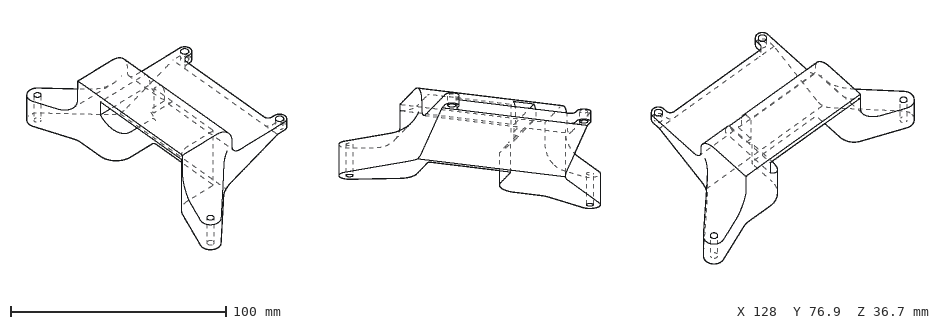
import cadquery as cq
import math

body_half_width = 35.7
body_height = 36.7
back_wall_y = 31.4
top_radius = 10.0
fillet_radius = 5.0

shelf_top = 18.5
shelf_thickness = 5.0
shelf_rear_y = 60.3
slope_foot_y = 27.1
lug_radius = 3.3
lug_center_y = 64.6
lug_hole_radius = 1.9
lug_fillet = 2.5
rounding_margin = 0.01

leg_height = 15.5
leg_tip_x = 59.0
leg_tip_y = -4.0
leg_tip_radius = 5.0
leg_hole_radius = 1.7
leg_rear_angle = 45
leg_root_radius = 10.0

ceiling_thickness = 3.1
cavity_back_y = 24.7
cavity_right_x = 30.2
pillar_inner_x = -20.4
pillar_radius = 10.0
corner_radius_left = 1.2
corner_radius_right = 0.8

ceiling = body_height - ceiling_thickness
cavity_left_x = pillar_inner_x + pillar_radius

slope_top_z = 25.6

tip_dx = leg_tip_x - body_half_width
front_angle = math.atan2(-leg_tip_y, tip_dx) + math.asin(leg_tip_radius / math.hypot(tip_dx, leg_tip_y))
front_slope = math.degrees(front_angle)


def tip_point(angle):
    """Point on the rim of the right leg tip at an angle in degrees."""
    turn = math.radians(angle)
    return leg_tip_x + leg_tip_radius * math.cos(turn), leg_tip_y + leg_tip_radius * math.sin(turn)


def make_side_solid(front_y, half_width):
    """Side outline of the part, starting at front_y and extruded symmetrically along X."""
    shelf_bottom = shelf_top - shelf_thickness
    shelf_end_y = lug_center_y + lug_radius
    return (
        cq.Workplane("YZ")
        .moveTo(front_y, 0)
        .lineTo(slope_foot_y, 0)
        .lineTo(shelf_rear_y, shelf_bottom)
        .lineTo(shelf_end_y, shelf_bottom)
        .lineTo(shelf_end_y, shelf_top)
        .lineTo(back_wall_y + fillet_radius, shelf_top)
        .radiusArc((back_wall_y, shelf_top + fillet_radius), fillet_radius)
        .lineTo(back_wall_y, body_height - top_radius)
        .radiusArc((back_wall_y - top_radius, body_height), -top_radius)
        .lineTo(front_y, body_height)
        .close()
        .extrude(half_width, both=True)
    )


def trim_lugs(body):
    """Shape the rear end of the shelf into two round lugs with holes."""
    lug_x = body_half_width - lug_radius
    inner_x = lug_x - lug_radius
    gap_length = 2 * lug_radius + lug_center_y - shelf_rear_y
    gap = (
        cq.Workplane("XY")
        .center(0, shelf_rear_y + gap_length / 2)
        .rect(2 * inner_x, gap_length)
        .extrude(shelf_top)
    )
    body = body.cut(gap)
    notch_corners = cq.selectors.BoxSelector(
        (-lug_x, shelf_rear_y - lug_fillet, 0),
        (lug_x, shelf_rear_y + lug_fillet, shelf_top),
    )
    body = body.edges(notch_corners).edges("|Z").fillet(lug_fillet)
    body = body.faces(">Y").edges("|Z").fillet(lug_radius - rounding_margin)
    holes = (
        cq.Workplane("XY")
        .pushPoints([(-lug_x, lug_center_y), (lug_x, lug_center_y)])
        .circle(lug_hole_radius)
        .extrude(shelf_top)
    )
    return body.cut(holes)


def make_leg(front_rounded):
    """Leg on the right side; front_rounded blends its front face into the body front."""
    rear_start = tip_point(90 - leg_rear_angle)
    front_end = tip_point(-90 - front_slope)
    rear_corner_y = rear_start[1] + (rear_start[0] - body_half_width) * math.tan(math.radians(leg_rear_angle))
    setback = leg_root_radius * math.tan(math.radians(leg_rear_angle / 2))
    root_y = rear_corner_y + setback
    rounding_end = (
        body_half_width + setback * math.cos(math.radians(leg_rear_angle)),
        rear_corner_y - setback * math.sin(math.radians(leg_rear_angle)),
    )
    outline = cq.Workplane("XY").moveTo(cavity_right_x, 0)
    if front_rounded:
        front_setback = leg_root_radius * math.tan(front_angle / 2)
        blend_start_x = body_half_width - front_setback
        blend_mid = (
            blend_start_x + leg_root_radius * math.sin(front_angle / 2),
            -leg_root_radius * (1 - math.cos(front_angle / 2)),
        )
        blend_end = (
            body_half_width + front_setback * math.cos(front_angle),
            -front_setback * math.sin(front_angle),
        )
        outline = outline.lineTo(blend_start_x, 0).threePointArc(blend_mid, blend_end)
    else:
        outline = outline.lineTo(body_half_width, 0)
    leg = (
        outline.lineTo(*front_end)
        .threePointArc(tip_point(0), rear_start)
        .lineTo(*rounding_end)
        .tangentArcPoint((body_half_width, root_y), relative=False)
        .lineTo(cavity_right_x, root_y)
        .close()
        .extrude(body_height)
    )
    leg_reach = leg_tip_x + leg_tip_radius
    leg = leg.intersect(make_side_solid(leg_tip_y - 2 * leg_tip_radius, leg_reach))
    rise = leg_root_radius
    clearance = (
        cq.Workplane("XZ")
        .moveTo(body_half_width, body_height)
        .lineTo(body_half_width, leg_height + rise)
        .radiusArc((body_half_width + rise, leg_height), -rise)
        .lineTo(leg_reach, leg_height)
        .lineTo(leg_reach, body_height)
        .close()
        .extrude(back_wall_y, both=True)
    )
    hole = cq.Workplane("XY").center(leg_tip_x, leg_tip_y).circle(leg_hole_radius).extrude(leg_height)
    return leg.cut(clearance).cut(hole)


def make_cavity():
    """Hollow behind the front opening, with rounded front edges and rear corners."""
    right_radius = (body_half_width - cavity_right_x) / (1 - math.sin(front_angle))
    right_center_y = right_radius * math.cos(front_angle)
    right_center_x = cavity_right_x + right_radius
    mid_turn = math.pi - (math.pi / 2 - front_angle) / 2
    right_mid = (
        right_center_x + right_radius * math.cos(mid_turn),
        right_center_y - right_radius * math.sin(mid_turn),
    )
    pillar_mid = pillar_radius * math.sqrt(0.5)
    return (
        cq.Workplane("XY")
        .moveTo(pillar_inner_x, 0)
        .threePointArc(
            (pillar_inner_x + pillar_mid, pillar_radius - pillar_mid),
            (cavity_left_x, pillar_radius),
        )
        .lineTo(cavity_left_x, cavity_back_y - corner_radius_left)
        .radiusArc((cavity_left_x + corner_radius_left, cavity_back_y), corner_radius_left)
        .lineTo(cavity_right_x - corner_radius_right, cavity_back_y)
        .radiusArc((cavity_right_x, cavity_back_y - corner_radius_right), corner_radius_right)
        .lineTo(cavity_right_x, right_center_y)
        .threePointArc(right_mid, (body_half_width, 0))
        .close()
        .extrude(ceiling)
    )


def make_slot():
    """Passage through the back wall, with a 45 degree floor that levels out at the shelf."""
    level_x = pillar_inner_x + slope_top_z - shelf_top
    passage = (
        cq.Workplane("XZ")
        .moveTo(pillar_inner_x, ceiling)
        .lineTo(pillar_inner_x, slope_top_z)
        .lineTo(level_x, shelf_top)
        .lineTo(cavity_left_x, shelf_top)
        .lineTo(cavity_left_x, ceiling)
        .close()
        .extrude(-(back_wall_y + fillet_radius))
    )
    slope_end_x = cavity_left_x + corner_radius_left
    slope_cut = (
        cq.Workplane("XZ")
        .moveTo(pillar_inner_x, ceiling)
        .lineTo(pillar_inner_x, slope_top_z)
        .lineTo(slope_end_x, slope_top_z - (slope_end_x - pillar_inner_x))
        .lineTo(slope_end_x, ceiling)
        .close()
        .extrude(-cavity_back_y)
    )
    return passage.union(slope_cut)


right_leg = make_leg(front_rounded=False)
left_leg = make_leg(front_rounded=True).mirror("YZ")
result = trim_lugs(make_side_solid(0, body_half_width)).union(right_leg).union(left_leg)
result = result.cut(make_cavity()).cut(make_slot())